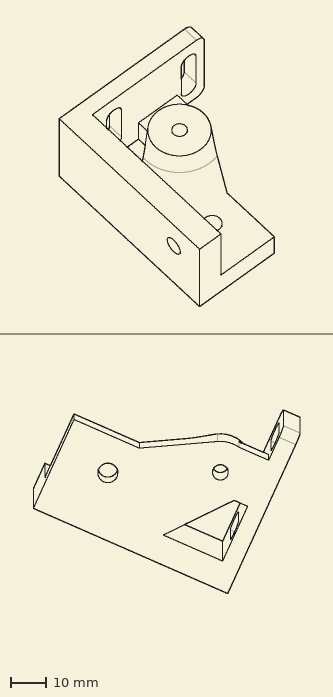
import cadquery as cq
import math

length = 60.1
depth = 50.0
height = 28.0
side_plate_thickness = 5.15
front_plate_thickness = 8.0
corner_radius = 3.0

bolt_diameter = 5.6
pivot_diameter = 4.4
front_hole_x = 49.05
front_hole_z = 17.9
web_hole_x = 45.1
web_hole_y = 17.9
slot_length = 18.5
slot_centers = [(16.1, 13.45), (44.1, 13.7)]

web_thickness = 8.0
web_depth = 28.1
web_knee_x = 39.9
web_foot_x = 23.5
boss_x = 16.15
boss_y = 31.0
boss_radius = 8.95
boss_height = 10.75
blend_radius = 3.95
rib_start_y = 25.25
rib_end_y = 39.8


def tangent_point(x, y, side):
    """Point where a line from (x, y) touches the boss; side is +1 or -1."""
    distance = math.hypot(x - boss_x, y - boss_y)
    angle = math.atan2(y - boss_y, x - boss_x) + side * math.acos(boss_radius / distance)
    return boss_x + boss_radius * math.cos(angle), boss_y + boss_radius * math.sin(angle)


def box(x_size, y_size, z_size):
    return cq.Workplane("XY").box(x_size, y_size, z_size, centered=False)


def make_plates():
    side = box(side_plate_thickness, depth, height)
    side = side.edges(">Y and |X").fillet(corner_radius)
    return side.union(box(length, front_plate_thickness, height))


def make_web(thickness):
    """Web outline with straight flanks tangent to its round end."""
    upper_tangent = tangent_point(web_knee_x, web_depth, 1)
    lower_tangent = tangent_point(web_foot_x, front_plate_thickness, -1)
    return (
        cq.Workplane("XY")
        .moveTo(web_foot_x, 0)
        .lineTo(length, 0)
        .lineTo(length, web_depth)
        .lineTo(web_knee_x, web_depth)
        .lineTo(*upper_tangent)
        .threePointArc((boss_x - boss_radius, boss_y), lower_tangent)
        .lineTo(web_foot_x, front_plate_thickness)
        .close()
        .extrude(thickness)
    )


def make_boss():
    """Boss whose flared side is an arc that meets the web smoothly."""
    rise = boss_height - web_thickness
    flare_center_radius = boss_radius + math.sqrt(blend_radius**2 - (blend_radius - rise) ** 2)
    flare_center_z = web_thickness + blend_radius
    top_angle = math.atan2(boss_height - flare_center_z, boss_radius - flare_center_radius)
    middle_angle = (top_angle % (2 * math.pi) + 1.5 * math.pi) / 2
    arc_middle = (
        flare_center_radius + blend_radius * math.cos(middle_angle),
        flare_center_z + blend_radius * math.sin(middle_angle),
    )
    flared = (
        cq.Workplane("XZ")
        .lineTo(flare_center_radius, 0)
        .lineTo(flare_center_radius, web_thickness)
        .threePointArc(arc_middle, (boss_radius, boss_height))
        .lineTo(0, boss_height)
        .close()
        .revolve(360, (0, 0, 0), (0, 1, 0))
        .translate((boss_x, boss_y, 0))
    )
    return flared.intersect(make_web(boss_height))


def make_rib():
    rib = box(boss_x, rib_end_y - rib_start_y, web_thickness)
    return rib.translate((0, rib_start_y, 0))


def vertical_hole(x, y, diameter):
    return cq.Workplane("XY").center(x, y).circle(diameter / 2).extrude(height)


result = make_plates().union(make_web(web_thickness)).union(make_rib()).union(make_boss())
result = result.cut(vertical_hole(boss_x, boss_y, pivot_diameter))
result = result.cut(vertical_hole(web_hole_x, web_hole_y, bolt_diameter))

front_hole = (
    cq.Workplane("XZ")
    .center(front_hole_x, front_hole_z)
    .circle(bolt_diameter / 2)
    .extrude(-front_plate_thickness)
)
slots = (
    cq.Workplane("YZ")
    .pushPoints(slot_centers)
    .slot2D(slot_length, bolt_diameter, 90)
    .extrude(side_plate_thickness)
)
result = result.cut(front_hole).cut(slots)